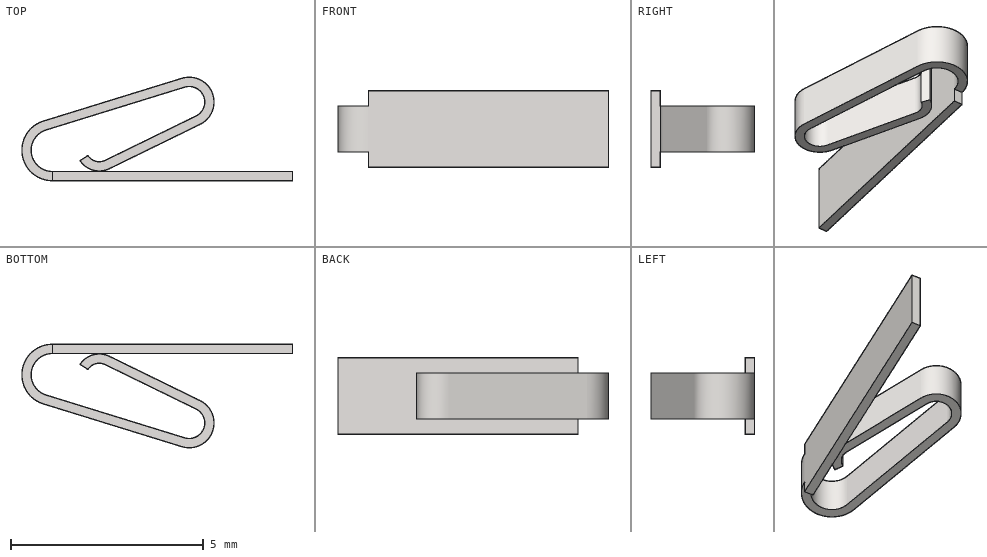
import cadquery as cq
import math

thickness = 0.25
plate_length = 6.25
plate_height = 2.0

strip_height = 1.2
base_radius = 0.8
peak_radius = 0.65
tip_radius = 0.6
base_start_angle = 270.0
contact_gap = 0.01
tip_end_angle = 213.0

base_center = (0.0, base_radius)
peak_center = (3.56, 2.05)
tip_center = (1.22, thickness + contact_gap + tip_radius)


def on_circle(center, radius, degrees):
    """Point on a circle at the given angle from +X."""
    angle = math.radians(degrees)
    return (center[0] + radius * math.cos(angle), center[1] + radius * math.sin(angle))


def tangent_angle(start, start_radius, end, end_radius):
    """Direction from both centres to the tangent line on the left of start-to-end travel."""
    dx = end[0] - start[0]
    dy = end[1] - start[1]
    heading = math.atan2(dy, dx)
    tilt = math.acos((start_radius - end_radius) / math.hypot(dx, dy))
    return math.degrees(heading + tilt)


rise_angle = tangent_angle(base_center, base_radius, peak_center, peak_radius)
return_angle = tangent_angle(peak_center, peak_radius, tip_center, tip_radius)

bends = [
    (base_center, base_radius, base_start_angle, rise_angle),
    (peak_center, peak_radius, rise_angle, return_angle),
    (tip_center, tip_radius, return_angle, tip_end_angle - 360),
]


def make_plate():
    return (
        cq.Workplane("XY")
        .box(plate_length, thickness, plate_height, centered=(False, False, True))
    )


def make_strip():
    outline = cq.Workplane("XY").moveTo(*on_circle(base_center, base_radius, base_start_angle))
    for index, (center, radius, start, end) in enumerate(bends):
        if index > 0:
            outline = outline.lineTo(*on_circle(center, radius, start))
        outline = outline.threePointArc(
            on_circle(center, radius, (start + end) / 2),
            on_circle(center, radius, end),
        )
    for center, radius, start, end in reversed(bends):
        inner_radius = radius - thickness
        outline = outline.lineTo(*on_circle(center, inner_radius, end))
        outline = outline.threePointArc(
            on_circle(center, inner_radius, (start + end) / 2),
            on_circle(center, inner_radius, start),
        )
    return outline.close().extrude(strip_height / 2, both=True)


result = make_plate().union(make_strip())